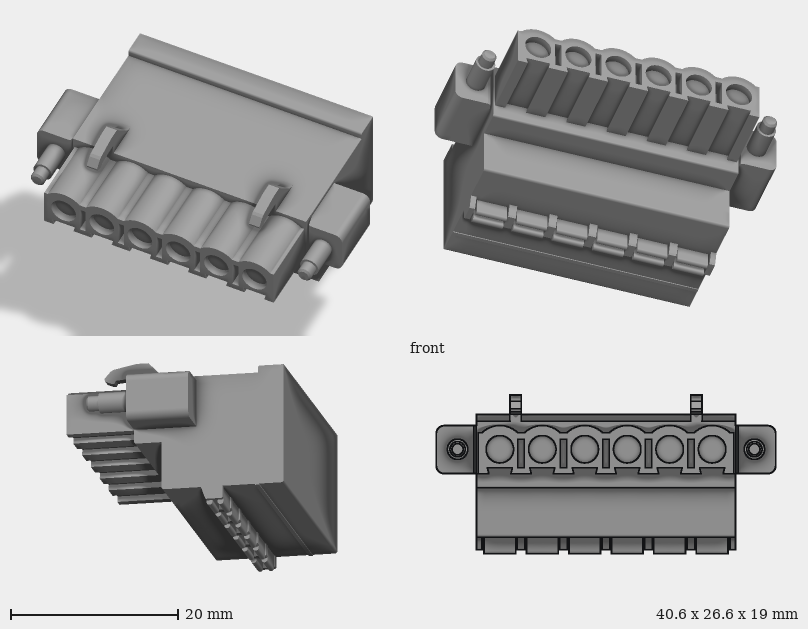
import cadquery as cq


OVERALL_WIDTH = 40.65
OVERALL_HEIGHT = 19.0

POLE_COUNT = 6
PITCH = 5.1

HOUSING_WIDTH = 31.05
HOUSING_DEPTH = 18.3
HOUSING_TOP = 13.85
LIP_TOP = 14.7
LIP_FRONT = 15.1
STEP_FRONT = 3.35
STEP_UNDERSIDE = 5.9
EDGE_RADIUS = 0.25
BASE_EDGE_RADIUS = 0.33
BEAD_CENTER = 15.05
BEAD_WIDTH = 0.5
BEAD_DROP = 0.12

SOCKET_ROW_WIDTH = 30.55
SOCKET_LENGTH = 8.35
SOCKET_TOP = 13.37
SOCKET_BOTTOM = 7.6
SHOULDER_TOP = 12.5
CROWN_CHORD = 4.23
SOCKET_AXIS = 10.53
HOLE_DIAMETER = 3.3
HOLE_DEPTH = 1.0
SLOT_WIDTH = 0.8
SLOT_TOP = 11.75
GROOVE_TOP = 8.35
SLOT_DEPTH = 2.05
GROOVE_TOP_WIDTH = 3.0
GROOVE_MOUTH_WIDTH = 2.65

FLANGE_DEPTH = 7.6
FLANGE_RADIUS = 0.98
RELIEF_WIDTH = 0.33
RELIEF_DEPTH = 1.63
BEVEL_WIDTH = 0.33
BEVEL_DEPTH = 0.1
PIN_X = 17.75
PIN_DIAMETER = 2.45
PIN_LENGTH = 3.7
TIP_DIAMETER = 1.83
TIP_LENGTH = 1.6
TIP_CHAMFER = 0.25

HOOK_X = 10.8
HOOK_WIDTH = 1.4
HOOK_TOP = 17.03
HOOK_BACK = 4.8
HOOK_ROOT = 0.4

FOOT_FRONT = 8.15
FOOT_BACK = 10.8
FOOT_DROP = 1.5
FOOT_WIDTH = 0.98
FOOT_CHAMFER = 0.15
FOOT_TOE_DEPTH = 0.12
FOOT_TOE_HEIGHT = 0.25
FOOT_TOE = 8.6
END_FOOT_WIDTH = 0.7
PRONG_WIDTH = 3.8
PRONG_THICKNESS = 0.7
PRONG_BOTTOM = HOOK_TOP - OVERALL_HEIGHT
PRONG_CENTERS = (9.02, 10.35)
PRONG_RADIUS = 0.33

POLE_CENTERS = [(i - (POLE_COUNT - 1) / 2) * PITCH for i in range(POLE_COUNT)]
GAP_CENTERS = [(i - POLE_COUNT / 2) * PITCH for i in range(1, POLE_COUNT)]


def block(x_range, y_range, z_range):
    """Axis-aligned box between the given limits."""
    ranges = (x_range, y_range, z_range)
    size = [high - low for low, high in ranges]
    corner = [low for low, high in ranges]
    return cq.Workplane().box(*size, centered=False).translate(tuple(corner))


def span(center, width):
    return (center - width / 2, center + width / 2)


def side_profile(center, width):
    """Sketch plane with coordinates (Y, Z), to be extruded by width about X = center."""
    return cq.Workplane("YZ", origin=(center - width / 2, 0, 0))


def make_housing():
    body = (
        side_profile(0, HOUSING_WIDTH)
        .moveTo(0, STEP_UNDERSIDE)
        .lineTo(0, HOUSING_TOP)
        .lineTo(LIP_FRONT, HOUSING_TOP)
        .lineTo(LIP_FRONT, LIP_TOP)
        .lineTo(HOUSING_DEPTH, LIP_TOP)
        .lineTo(HOUSING_DEPTH, 0)
        .lineTo(STEP_FRONT, 0)
        .lineTo(STEP_FRONT, STEP_UNDERSIDE)
        .close()
        .extrude(HOUSING_WIDTH)
    )
    rounded_edges = (
        (LIP_FRONT, LIP_TOP, EDGE_RADIUS),
        (0, STEP_UNDERSIDE, EDGE_RADIUS),
        (STEP_FRONT, 0, BASE_EDGE_RADIUS),
        (HOUSING_DEPTH, 0, BASE_EDGE_RADIUS),
    )
    for y, z, radius in rounded_edges:
        body = body.edges(cq.NearestToPointSelector((0, y, z))).fillet(radius)
    bead = block(span(0, HOUSING_WIDTH), span(BEAD_CENTER, BEAD_WIDTH), (-BEAD_DROP, BEAD_DROP))
    return body.union(bead)


def make_socket_row():
    half_width = SOCKET_ROW_WIDTH / 2
    profile = (
        cq.Workplane("XZ")
        .moveTo(half_width, SOCKET_BOTTOM)
        .lineTo(-half_width, SOCKET_BOTTOM)
        .lineTo(-half_width, SHOULDER_TOP)
    )
    for x in POLE_CENTERS:
        left, right = span(x, CROWN_CHORD)
        profile = profile.lineTo(left, SHOULDER_TOP)
        profile = profile.threePointArc((x, SOCKET_TOP), (right, SHOULDER_TOP))
    row = profile.lineTo(half_width, SHOULDER_TOP).close().extrude(SOCKET_LENGTH)

    face = cq.Workplane("XZ", origin=(0, -SOCKET_LENGTH, 0))
    for x in POLE_CENTERS:
        hole = face.center(x, SOCKET_AXIS).circle(HOLE_DIAMETER / 2).extrude(-HOLE_DEPTH)
        groove = face.polyline([
            (x - GROOVE_MOUTH_WIDTH / 2, SOCKET_BOTTOM),
            (x - GROOVE_TOP_WIDTH / 2, GROOVE_TOP),
            (x + GROOVE_TOP_WIDTH / 2, GROOVE_TOP),
            (x + GROOVE_MOUTH_WIDTH / 2, SOCKET_BOTTOM),
        ]).close().extrude(-SOCKET_LENGTH)
        row = row.cut(hole).cut(groove)
    for x in GAP_CENTERS:
        slot = block(
            span(x, SLOT_WIDTH),
            (-SOCKET_LENGTH, -SOCKET_LENGTH + SLOT_DEPTH),
            (GROOVE_TOP, SLOT_TOP),
        )
        row = row.cut(slot)
    return row


def make_flange():
    """Flange and stepped pin on the +X end."""
    inner = HOUSING_WIDTH / 2
    flange = block((inner, OVERALL_WIDTH / 2), (0, FLANGE_DEPTH), (SOCKET_BOTTOM, SOCKET_TOP))
    flange = flange.edges("|Y and >X").fillet(FLANGE_RADIUS)
    relief = (
        cq.Workplane("XY")
        .polyline([
            (inner, 0),
            (inner + RELIEF_WIDTH + BEVEL_WIDTH, 0),
            (inner + RELIEF_WIDTH, BEVEL_DEPTH),
            (inner, RELIEF_DEPTH),
        ])
        .close()
        .extrude(SOCKET_TOP)
    )
    pin = cq.Workplane("XZ").center(PIN_X, SOCKET_AXIS).circle(PIN_DIAMETER / 2).extrude(PIN_LENGTH)
    tip = (
        cq.Workplane("XZ", origin=(0, -PIN_LENGTH, 0))
        .center(PIN_X, SOCKET_AXIS)
        .circle(TIP_DIAMETER / 2)
        .extrude(TIP_LENGTH)
        .faces("<Y")
        .chamfer(TIP_CHAMFER)
    )
    return flange.cut(relief).union(pin).union(tip)


def make_hook(x):
    """Latch hook that rises from the housing top and reaches forward over the sockets."""
    return (
        side_profile(x, HOOK_WIDTH)
        .moveTo(0, HOUSING_TOP - HOOK_ROOT)
        .lineTo(0, 15.08)
        .lineTo(-0.15, 15.25)
        .lineTo(-1.6, 15.2)
        .lineTo(-3.1, 15.08)
        .lineTo(-3.3, 14.7)
        .lineTo(-3.6, 14.7)
        .lineTo(-4.4, 15.05)
        .lineTo(-4.5, 15.35)
        .lineTo(-3.75, 16.25)
        .lineTo(-3.37, 16.45)
        .lineTo(-0.98, 16.95)
        .lineTo(-0.5, HOOK_TOP)
        .lineTo(0.9, HOOK_TOP)
        .lineTo(3.45, 14.45)
        .threePointArc((4.05, 14.05), (HOOK_BACK, HOUSING_TOP))
        .lineTo(HOOK_BACK, HOUSING_TOP - HOOK_ROOT)
        .close()
        .extrude(HOOK_WIDTH)
    )


def make_foot(x_range):
    """Tapered rib under the housing, sloping on its front side."""
    low, high = x_range
    return (
        cq.Workplane("YZ", origin=(low, 0, 0))
        .moveTo(FOOT_FRONT, 0)
        .lineTo(FOOT_TOE, -FOOT_DROP + FOOT_TOE_HEIGHT)
        .lineTo(FOOT_TOE + FOOT_TOE_DEPTH, -FOOT_DROP)
        .lineTo(FOOT_BACK - FOOT_CHAMFER, -FOOT_DROP)
        .lineTo(FOOT_BACK, -FOOT_DROP + FOOT_CHAMFER)
        .lineTo(FOOT_BACK, 0)
        .close()
        .extrude(high - low)
    )


def make_prong(x, y):
    prong = block(span(x, PRONG_WIDTH), span(y, PRONG_THICKNESS), (PRONG_BOTTOM, 0))
    return prong.edges("|X and <Z").fillet(PRONG_RADIUS)


result = make_housing().union(make_socket_row())

right_flange = make_flange()
result = result.union(right_flange).union(right_flange.mirror("YZ"))

for hook_x in (-HOOK_X, HOOK_X):
    result = result.union(make_hook(hook_x))

half_housing = HOUSING_WIDTH / 2
foot_ranges = [span(x, FOOT_WIDTH) for x in GAP_CENTERS]
foot_ranges.append((-half_housing, -half_housing + END_FOOT_WIDTH))
foot_ranges.append((half_housing - END_FOOT_WIDTH, half_housing))
for foot_range in foot_ranges:
    result = result.union(make_foot(foot_range))

for pole_x in POLE_CENTERS:
    for prong_y in PRONG_CENTERS:
        result = result.union(make_prong(pole_x, prong_y))